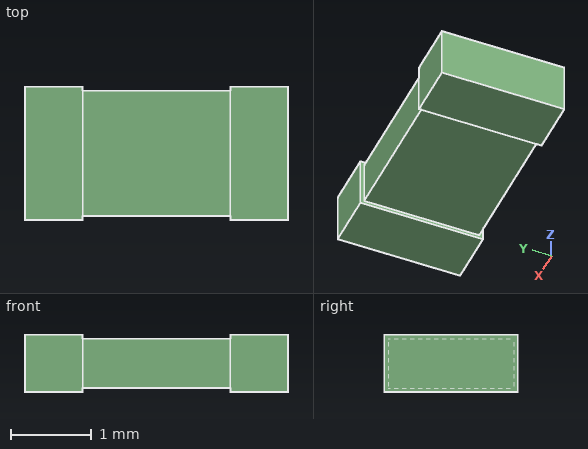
import cadquery as cq

overall_length = 3.25
overall_width = 1.65
overall_height = 0.71

terminal_length = 0.7125
terminal_step = 0.05

body_length = overall_length - 2 * terminal_length
body_width = overall_width - 2 * terminal_step
body_height = overall_height - 2 * terminal_step

terminal_center_x = (overall_length - terminal_length) / 2


def make_ceramic_body():
    """Plain block centred on the origin, butting against both terminals."""
    return cq.Workplane("XY").box(body_length, body_width, body_height)


def make_terminal(center_x):
    """Full-section end block centred at the given X."""
    block = cq.Workplane("XY").box(terminal_length, overall_width, overall_height)
    return block.translate((center_x, 0, 0))


ceramic_body = make_ceramic_body()
terminals = [make_terminal(side * terminal_center_x) for side in (-1, 1)]

result = cq.Compound.makeCompound(
    [ceramic_body.val(), *[terminal.val() for terminal in terminals]]
)